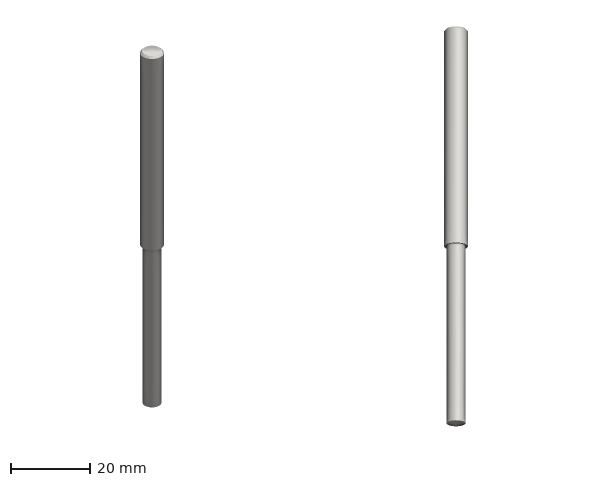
import cadquery as cq
import math

overall_length = 105.9
shank_diameter = 6.0
shank_length = 57.8
chamfer_size = 0.5
drill_diameter = 4.8
cutting_length = 24.8
point_angle = 140.0

shank_radius = shank_diameter / 2
drill_radius = drill_diameter / 2
point_height = drill_radius / math.tan(math.radians(point_angle / 2))
shoulder_z = overall_length - shank_length


def turned_body(profile):
    """Revolve a closed (radius, height) profile around the Z axis."""
    return cq.Workplane("XZ").polyline(profile).close().revolve(360, (0, 0), (0, 1))


def make_cutting_part():
    """Lower cylinder with a conical drill point."""
    return turned_body([
        (0, 0),
        (drill_radius, point_height),
        (drill_radius, cutting_length),
        (0, cutting_length),
    ])


def make_shank():
    """Neck and thicker shank, with a chamfered top end."""
    return turned_body([
        (0, cutting_length),
        (drill_radius, cutting_length),
        (drill_radius, shoulder_z),
        (shank_radius, shoulder_z),
        (shank_radius, overall_length - chamfer_size),
        (shank_radius - chamfer_size, overall_length),
        (0, overall_length),
    ])


cutting_part = make_cutting_part()
shank = make_shank()

result = cq.Compound.makeCompound([cutting_part.val(), shank.val()])